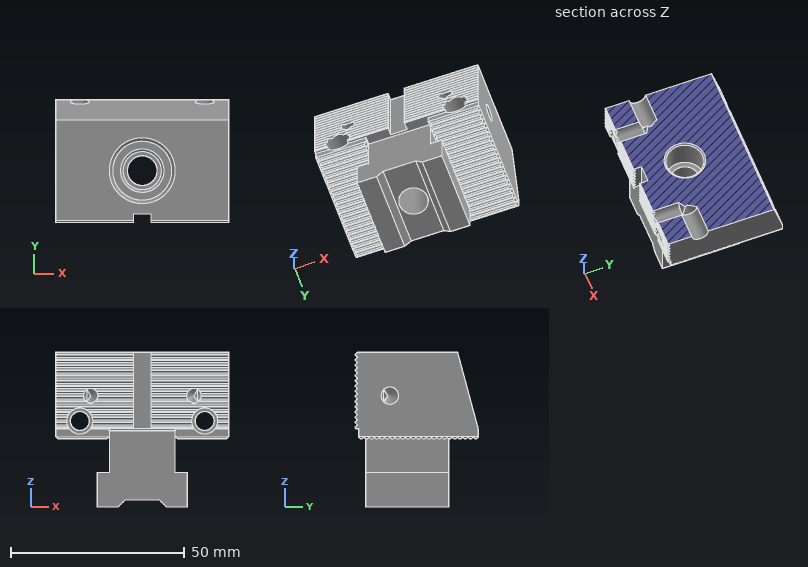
import cadquery as cq
import math

JAW_WIDTH = 50.0
JAW_TOP = 44.7
JAW_HEIGHT = 25.0
TOOTH_PITCH = 1.5

FRONT_TIP_Y = -15.0
FRONT_TOOTH_DEPTH = 0.65
FRONT_ROOT_Y = FRONT_TIP_Y + FRONT_TOOTH_DEPTH
TOE_Y = FRONT_TIP_Y + 1.0

UNDER_TOOTH_COUNT = 23
UNDER_TOOTH_DEPTH = 0.5
UNDER_TIP_Z = JAW_TOP - JAW_HEIGHT
UNDER_ROOT_Z = UNDER_TIP_Z + UNDER_TOOTH_DEPTH
UNDER_END_CHAMFER = 0.7
BACK_Y = TOE_Y + UNDER_TOOTH_COUNT * TOOTH_PITCH
BACK_LEAN_OFFSET = 5.95
BACK_LEAN_START_Z = 22.6

CHANNEL_TOP = 22.6
SLOT_WIDTH = 5.0
SLOT_BACK_Y = -12.5

BORE_DIAMETER = 17.0
BORE_FLOOR_Z = 32.5
BORE_CHAMFER = 1.0
SCREW_HOLE_DIAMETER = 11.0
SCREW_HOLE_CHAMFER = 0.75

BOLT_SPACING = 36.0
BOLT_Z = 24.85
BOLT_HOLE_DIAMETER = 5.4
BOLT_HEAD_DIAMETER = 7.5
BOLT_HEAD_DEPTH = 7.5

CROSS_HOLE_Z = 32.15
DRILL_POINT_ANGLE = 118.0
FRONT_HOLE_SPACING = 29.8
FRONT_HOLE_DIAMETER = 4.2
FRONT_HOLE_DEPTH = 8.1
SIDE_HOLE_Y = -5.0
SIDE_HOLE_DIAMETER = 5.0
SIDE_HOLE_DEPTH = 9.0

STEM_WIDTH = 19.0
KEY_LENGTH = 24.0
KEY_HEIGHT = 22.1
FLANGE_WIDTH = 26.0
FLANGE_HEIGHT = 10.0
KEY_GROOVE_DEPTH = 2.0
KEY_GROOVE_TOP_WIDTH = 10.0
KEY_HOLE_DIAMETER = 8.5


def drilled_hole(diameter, depth, start, direction):
    """Blind hole with a conical drill point, starting at a point and running along a direction."""
    radius = diameter / 2
    point_length = radius / math.tan(math.radians(DRILL_POINT_ANGLE / 2))
    start = cq.Vector(*start)
    direction = cq.Vector(*direction)
    shank = cq.Solid.makeCylinder(radius, depth, start, direction)
    point = cq.Solid.makeCone(radius, 0, point_length, start + direction * depth, direction)
    return shank.fuse(point)


def front_bore(diameter, x, z, y_start, y_end):
    """Cylinder along +Y, used for cutting."""
    start = cq.Vector(x, y_start, z)
    return cq.Solid.makeCylinder(diameter / 2, y_end - y_start, start, cq.Vector(0, 1, 0))


def make_jaw_block():
    """Side profile with both rows of teeth and the leaning back, extruded across the full width."""
    profile = []
    front_tooth_count = math.ceil((JAW_TOP - CHANNEL_TOP) / TOOTH_PITCH)
    for tooth in range(front_tooth_count):
        root_z = JAW_TOP - tooth * TOOTH_PITCH
        tip_bottom_z = root_z - TOOTH_PITCH + FRONT_TOOTH_DEPTH
        profile.append((FRONT_ROOT_Y, root_z))
        profile.append((FRONT_TIP_Y, root_z - FRONT_TOOTH_DEPTH))
        profile.append((FRONT_TIP_Y, tip_bottom_z))
    profile.append((FRONT_TIP_Y + tip_bottom_z - CHANNEL_TOP, CHANNEL_TOP))
    profile.append((TOE_Y, CHANNEL_TOP))
    for tooth in range(UNDER_TOOTH_COUNT):
        root_y = TOE_Y + tooth * TOOTH_PITCH
        profile.append((root_y, UNDER_ROOT_Z))
        profile.append((root_y + UNDER_TOOTH_DEPTH, UNDER_TIP_Z))
        profile.append((root_y + TOOTH_PITCH - UNDER_TOOTH_DEPTH, UNDER_TIP_Z))
    profile.append((BACK_Y, UNDER_ROOT_Z))
    profile.append((BACK_Y, BACK_LEAN_START_Z))
    profile.append((BACK_Y - BACK_LEAN_OFFSET, JAW_TOP))
    return cq.Workplane("YZ").polyline(profile).close().extrude(JAW_WIDTH / 2, both=True)


def chamfer_underside_ends(jaw):
    """45 degree chamfers along the outer ends of the underside teeth and along the channel edges."""
    for corner_x in (-JAW_WIDTH / 2, -STEM_WIDTH / 2, STEM_WIDTH / 2, JAW_WIDTH / 2):
        wedge = (
            cq.Workplane("XZ", origin=(corner_x, TOE_Y, UNDER_TIP_Z))
            .moveTo(-UNDER_END_CHAMFER, 0)
            .lineTo(UNDER_END_CHAMFER, 0)
            .lineTo(0, UNDER_END_CHAMFER)
            .close()
            .extrude(TOE_Y - BACK_Y)
        )
        jaw = jaw.cut(wedge)
    return jaw


def cut_channel_and_slot(jaw):
    """Key channel through the underside and the narrow upright slot in the front face."""
    channel = cq.Workplane("XY").box(
        STEM_WIDTH, BACK_Y - FRONT_TIP_Y, CHANNEL_TOP - UNDER_TIP_Z, centered=(True, False, False)
    ).translate((0, FRONT_TIP_Y, UNDER_TIP_Z))
    slot = cq.Workplane("XY").box(
        SLOT_WIDTH, SLOT_BACK_Y - FRONT_TIP_Y, JAW_TOP - CHANNEL_TOP, centered=(True, False, False)
    ).translate((0, FRONT_TIP_Y, CHANNEL_TOP))
    return jaw.cut(channel).cut(slot)


def cut_screw_bore(jaw):
    """Stepped vertical bore, chamfered at the top edge and at the floor."""
    bore_radius = BORE_DIAMETER / 2
    hole_radius = SCREW_HOLE_DIAMETER / 2
    half_section = [
        (0, CHANNEL_TOP),
        (hole_radius, CHANNEL_TOP),
        (hole_radius, BORE_FLOOR_Z - SCREW_HOLE_CHAMFER),
        (hole_radius + SCREW_HOLE_CHAMFER, BORE_FLOOR_Z),
        (bore_radius, BORE_FLOOR_Z),
        (bore_radius, JAW_TOP - BORE_CHAMFER),
        (bore_radius + BORE_CHAMFER, JAW_TOP),
        (0, JAW_TOP),
    ]
    bore = cq.Workplane("XZ").polyline(half_section).close().revolve(360, (0, 0, 0), (0, 1, 0))
    return jaw.cut(bore)


def cut_side_features(jaw, side):
    """Counterbored bolt hole and the two crossing blind holes at one end of the jaw."""
    bolt_x = side * BOLT_SPACING / 2
    bolt_hole = front_bore(BOLT_HOLE_DIAMETER, bolt_x, BOLT_Z, FRONT_TIP_Y, BACK_Y)
    head_end_y = FRONT_TIP_Y + BOLT_HEAD_DEPTH
    bolt_head = front_bore(BOLT_HEAD_DIAMETER, bolt_x, BOLT_Z, FRONT_TIP_Y, head_end_y)
    front_hole = drilled_hole(
        FRONT_HOLE_DIAMETER,
        FRONT_HOLE_DEPTH,
        (side * FRONT_HOLE_SPACING / 2, FRONT_TIP_Y, CROSS_HOLE_Z),
        (0, 1, 0),
    )
    side_hole = drilled_hole(
        SIDE_HOLE_DIAMETER,
        SIDE_HOLE_DEPTH,
        (side * JAW_WIDTH / 2, SIDE_HOLE_Y, CROSS_HOLE_Z),
        (-side, 0, 0),
    )
    for cutter in (bolt_hole, bolt_head, front_hole, side_hole):
        jaw = jaw.cut(cq.Workplane(obj=cutter))
    return jaw


def make_jaw():
    jaw = make_jaw_block()
    jaw = cut_channel_and_slot(jaw)
    jaw = chamfer_underside_ends(jaw)
    jaw = cut_screw_bore(jaw)
    for side in (-1, 1):
        jaw = cut_side_features(jaw, side)
    return jaw


def make_key():
    """Inverted-T slide key with a bevelled groove underneath and a vertical through hole."""
    flange_half = FLANGE_WIDTH / 2
    stem_half = STEM_WIDTH / 2
    groove_top_half = KEY_GROOVE_TOP_WIDTH / 2
    groove_bottom_half = groove_top_half + KEY_GROOVE_DEPTH
    profile = [
        (-flange_half, 0),
        (-groove_bottom_half, 0),
        (-groove_top_half, KEY_GROOVE_DEPTH),
        (groove_top_half, KEY_GROOVE_DEPTH),
        (groove_bottom_half, 0),
        (flange_half, 0),
        (flange_half, FLANGE_HEIGHT),
        (stem_half, FLANGE_HEIGHT),
        (stem_half, KEY_HEIGHT),
        (-stem_half, KEY_HEIGHT),
        (-stem_half, FLANGE_HEIGHT),
        (-flange_half, FLANGE_HEIGHT),
    ]
    key = cq.Workplane("XZ").polyline(profile).close().extrude(KEY_LENGTH / 2, both=True)
    hole = cq.Workplane("XY").circle(KEY_HOLE_DIAMETER / 2).extrude(KEY_HEIGHT)
    return key.cut(hole)


jaw = make_jaw()
key = make_key()

result = cq.Compound.makeCompound([jaw.solids().val(), key.solids().val()])